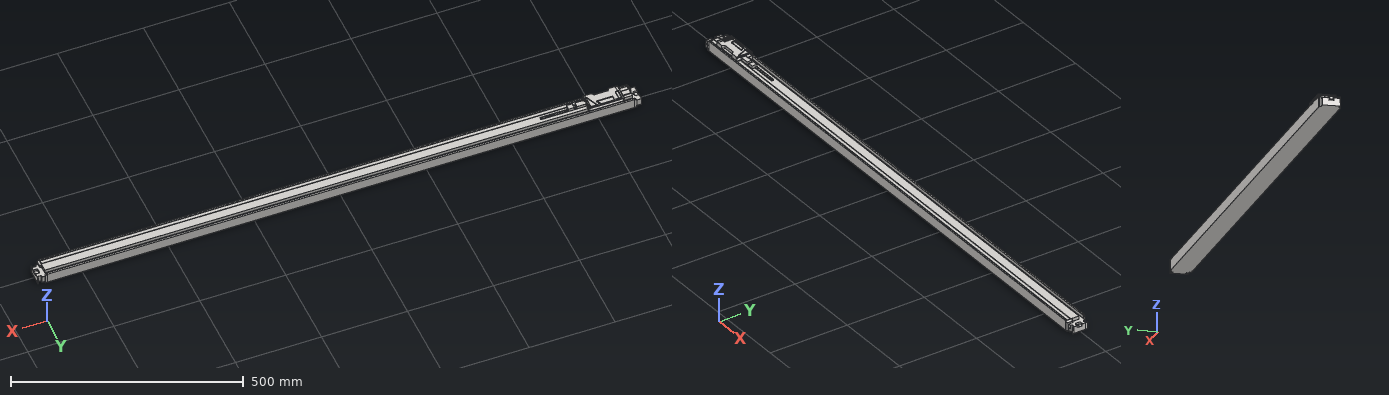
import cadquery as cq

total_length = 1404.0
rail_width = 47.9
rail_height = 25.0
total_height = 35.0

left_end = -total_length / 2
right_end = total_length / 2
half_width = rail_width / 2

plug_height = 17.0
plug_width = 40.0
left_plug_length = 13.0
right_plug_length = 16.0
cap_length = 5.0
cap_side_inset = 0.3
cap_chamfer = 4.0
cap_recess_depth = 4.0
cap_recess_bottom = -8.0
socket_width = 13.0
socket_length = 10.0
socket_depth = 5.0
socket_corner_radius = 3.0
plug_ledge_height = 8.5
plug_ledge_depth = 1.0
latch_notch_depth = 5.0
latch_notch_length = 8.5
latch_notch_offset = 1.0

wall_thickness = 4.2
groove_inner = 10.6
groove_outer = half_width - wall_thickness
shallow_groove_depth = 1.0
wire_slot_y = 2.0
wire_slot_size = 1.0

adapter_length = 81.0
adapter_offset = 40.0
adapter_half_width = 19.8
adapter_lip = 1.5
adapter_waist = 5.0
foot_clearance = 0.4
side_notch_depth = 6.0
side_notch_length = 40.0
side_notch_slope = 5.0
side_notch_floor = 3.0
top_pocket_length = 38.0
top_pocket_depth = 2.0
top_pocket_slope = 8.0
top_step_width = 7.0
top_step_depth = 1.5
top_step_margin = 4.0
corner_cut_start = 20.0
corner_cut_end = 6.0
corner_cut_y = -13.0
tail_length = 106.0
tail_width = 5.0
tail_height = 2.0
clip_height = 7.0
clip_width = 12.0
clip_lengths = (22.0, 14.0)
clip_gap = 6.0

adapter_start = left_end + adapter_offset
adapter_end = adapter_start + adapter_length
adapter_middle = (adapter_start + adapter_end) / 2
rail_start = left_end + left_plug_length + cap_length
rail_end = right_end - right_plug_length - cap_length


def box(x_range, y_range, z_range):
    """Axis-aligned block between the given limits."""
    size = [high - low for low, high in (x_range, y_range, z_range)]
    return (
        cq.Workplane("XY")
        .box(*size, centered=False)
        .translate((x_range[0], y_range[0], z_range[0]))
    )


def end_fitting(end_x, inward, plug_length):
    """End cap and plug; inward is +1 at the left end and -1 at the right end."""

    def span(near, far):
        return tuple(sorted((end_x + inward * near, end_x + inward * far)))

    cap_half_width = half_width - cap_side_inset
    cap_far = plug_length + cap_length
    outer_edge = "<X" if inward > 0 else ">X"
    cap = box(span(plug_length, cap_far), (-cap_half_width, cap_half_width), (0, rail_height))
    cap = cap.faces(">Z").edges(outer_edge).chamfer(cap_chamfer)
    recess = box(
        span(plug_length, plug_length + cap_recess_depth),
        (cap_recess_bottom, groove_inner),
        (plug_height, rail_height),
    )
    plug = box(span(0, plug_length), (-plug_width / 2, plug_width / 2), (0, plug_height))
    ledge = box(
        span(0, plug_length),
        (-plug_width / 2, plug_ledge_depth - plug_width / 2),
        (plug_ledge_height, plug_height),
    )
    socket = box(
        span(0, socket_length),
        (-socket_width / 2, socket_width / 2),
        (plug_height - socket_depth, plug_height),
    ).edges("|Z").fillet(socket_corner_radius)
    return cap.cut(recess).union(plug.cut(ledge).cut(socket))


def make_rail():
    rail = box((rail_start, rail_end), (-half_width, half_width), (0, rail_height))
    rail = rail.union(end_fitting(left_end, 1, left_plug_length))
    rail = rail.union(end_fitting(right_end, -1, right_plug_length))

    deep_groove = box((left_end, right_end), (groove_inner, groove_outer), (plug_height, rail_height))
    shallow_groove = box(
        (rail_start, rail_end),
        (-groove_outer, -groove_inner),
        (rail_height - shallow_groove_depth, rail_height),
    )
    wire_slot = box(
        (rail_start, adapter_start),
        (wire_slot_y, wire_slot_y + wire_slot_size),
        (rail_height - wire_slot_size, rail_height),
    )
    rail = rail.cut(deep_groove).cut(shallow_groove).cut(wire_slot)

    notch_end = right_end - latch_notch_offset
    for side in (-1, 1):
        y_range = sorted((side * plug_width / 2, side * (plug_width / 2 - latch_notch_depth)))
        rail = rail.cut(box((notch_end - latch_notch_length, notch_end), y_range, (0, plug_height)))
    return rail


def make_adapter():
    flange_top = rail_height + adapter_lip
    overhang_bottom = total_height - adapter_lip
    body = (
        cq.Workplane("XZ", origin=(0, adapter_half_width, 0))
        .polyline([
            (adapter_start, rail_height),
            (adapter_end, rail_height),
            (adapter_end, flange_top),
            (adapter_end - adapter_waist, overhang_bottom),
            (adapter_end, overhang_bottom),
            (adapter_end, total_height),
            (adapter_start, total_height),
            (adapter_start, overhang_bottom),
            (adapter_start + adapter_waist, overhang_bottom),
            (adapter_start, flange_top),
        ])
        .close()
        .extrude(2 * adapter_half_width)
    )
    side_waist = (
        cq.Workplane("YZ", origin=(adapter_start, 0, 0))
        .polyline([
            (adapter_half_width, flange_top),
            (adapter_half_width - adapter_waist, overhang_bottom),
            (adapter_half_width, overhang_bottom),
        ])
        .close()
        .extrude(adapter_length)
    )
    notch_half = side_notch_length / 2
    side_notch = (
        cq.Workplane("XY", origin=(adapter_middle, -adapter_half_width, rail_height + side_notch_floor))
        .polyline([
            (-notch_half, 0),
            (notch_half, 0),
            (notch_half - side_notch_slope, side_notch_depth),
            (side_notch_slope - notch_half, side_notch_depth),
        ])
        .close()
        .extrude(total_height)
    )
    pocket_half = top_pocket_length / 2
    top_pocket = (
        cq.Workplane("XY", origin=(adapter_middle, 0, total_height - top_pocket_depth))
        .polyline([
            (-pocket_half, groove_inner / 2),
            (pocket_half, groove_inner / 2),
            (pocket_half - top_pocket_slope, groove_outer - adapter_lip),
            (-pocket_half, groove_outer - adapter_lip),
        ])
        .close()
        .extrude(top_pocket_depth)
    )
    body = body.cut(side_waist).cut(side_notch).cut(top_pocket)
    step_start = adapter_start + top_step_margin
    body = body.cut(box(
        (step_start, step_start + top_step_width),
        (-groove_inner / 2, groove_outer - adapter_lip),
        (total_height - top_step_depth, total_height),
    ))
    corner_cut = (
        cq.Workplane("XY", origin=(adapter_end, 0, total_height - top_step_depth))
        .polyline([
            (-corner_cut_start, groove_outer - adapter_lip),
            (-corner_cut_end, corner_cut_y),
            (-adapter_lip, corner_cut_y),
            (-adapter_lip, groove_outer - adapter_lip),
        ])
        .close()
        .extrude(top_step_depth)
    )
    body = body.cut(corner_cut)

    foot = box(
        (adapter_start, adapter_end),
        (groove_inner + foot_clearance, groove_outer - foot_clearance),
        (plug_height, rail_height),
    )
    tail = box(
        (adapter_end, adapter_end + tail_length),
        (-tail_width / 2, tail_width / 2),
        (rail_height, rail_height + tail_height),
    )
    adapter = body.union(foot).union(tail)
    clip_start = adapter_end
    for length in clip_lengths:
        adapter = adapter.union(box(
            (clip_start, clip_start + length),
            (tail_width / 2 - clip_width, tail_width / 2),
            (rail_height, rail_height + clip_height),
        ))
        clip_start += length + clip_gap
    return adapter


rail = make_rail()
adapter = make_adapter()
result = cq.Compound.makeCompound([rail.val(), adapter.val()])